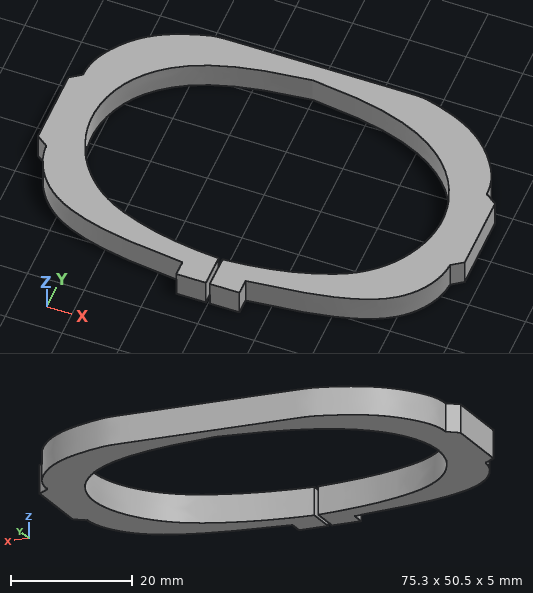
import cadquery as cq

length = 75.3
width = 50.5
thickness = 5.0

flat_half_length = 12.8
lug_x = length / 2
lug_root_x = 35.6
lug_top_y = 8.05
lug_bottom_y = -5.65
lug_taper_height = 1.4

gap = 0.7
tab_outer_x = 5.6
tab_root_y = -22.5

top_y = width / 2
bottom_y = -width / 2

upper_shoulder = [
    (lug_root_x, lug_top_y + lug_taper_height),
    (33.35, 16.25),
    (30.2, 19.9),
    (27.7, 21.7),
    (24.15, 23.4),
    (20.1, 24.8),
    (flat_half_length, top_y),
]
lower_shoulder = [
    (tab_outer_x, tab_root_y),
    (12.0, -21.8),
    (22.3, -20.0),
    (27.4, -18.2),
    (30.4, -16.4),
    (33.7, -12.8),
    (lug_root_x, lug_bottom_y - lug_taper_height),
]
opening_edge = [
    (0, 22.05),
    (13.85, 19.9),
    (22.35, 16.25),
    (28.0, 10.85),
    (30.85, 1.5),
    (29.35, -5.5),
    (25.75, -11.0),
    (21.1, -14.6),
    (16.9, -16.4),
    (10.5, -18.2),
    (gap / 2, -19.5),
]


def half_ring():
    """One half of the split ring, from the top centre to the gap."""
    return (
        cq.Workplane("XY")
        .workplane(offset=-thickness / 2)
        .moveTo(*opening_edge[0])
        .spline(opening_edge[1:], includeCurrent=True)
        .lineTo(gap / 2, bottom_y)
        .lineTo(tab_outer_x, bottom_y)
        .lineTo(*lower_shoulder[0])
        .spline(lower_shoulder[1:], includeCurrent=True)
        .lineTo(lug_x, lug_bottom_y)
        .lineTo(lug_x, lug_top_y)
        .lineTo(*upper_shoulder[0])
        .spline(upper_shoulder[1:], tangents=[(0, 1), (-1, 0)], includeCurrent=True)
        .lineTo(0, top_y)
        .close()
        .extrude(thickness)
    )


right_half = half_ring()
left_half = right_half.mirror("YZ")
result = right_half.union(left_half)